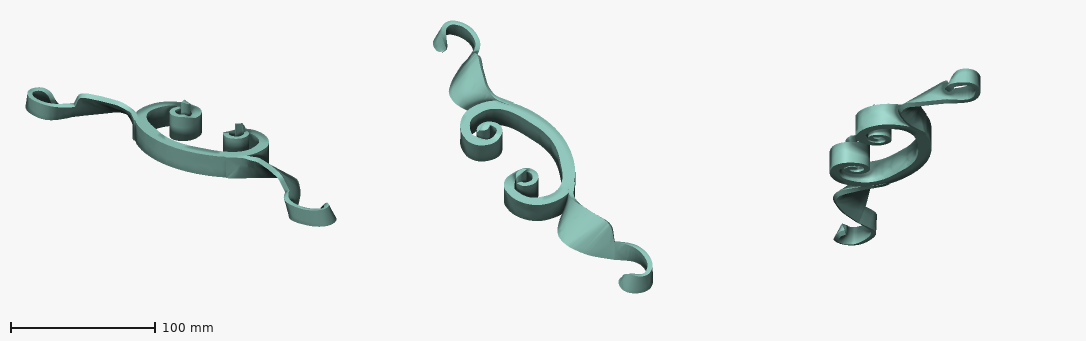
import cadquery as cq


FRAME_HEIGHT = 15.7
CURL_HEIGHT = 18.3
SPIKE_HEIGHT = 25.5
ARM_THICKNESS = 3.5

FRAME_END_X = -30.0
FRAME_END_OUTER = (FRAME_END_X, 60.0)
FRAME_END_INNER = (FRAME_END_X, 53.8)

FRAME_OUTER = [
    FRAME_END_OUTER, (-39.3, 58.5), (-47.0, 53.5), (-52.4, 46.5), (-54.5, 37.8),
    (-53.0, 26.0), (-44.0, 14.3), (-35.0, 8.5), (-23.5, 3.8), (-13.0, 1.2), (0, 0),
]
FRAME_INNER = [
    FRAME_END_INNER, (-37.2, 52.0), (-43.3, 47.7), (-46.2, 40.5), (-46.8, 33.5),
    (-45.5, 28.5), (-38.5, 20.7), (-24.5, 14.0), (-13.0, 10.2), (0, 8.5),
]

CURL_STATIONS = [
    (FRAME_END_OUTER, FRAME_END_INNER, FRAME_HEIGHT),
    ((-23.8, 58.8), (-27.0, 52.0), FRAME_HEIGHT),
    ((-18.5, 54.5), (-23.3, 49.5), FRAME_HEIGHT),
    ((-16.3, 48.3), (-21.2, 46.5), FRAME_HEIGHT),
    ((-16.0, 43.3), (-20.7, 43.5), 16.3),
    ((-17.5, 39.0), (-21.0, 41.3), 17.7),
    ((-20.5, 35.8), (-22.5, 39.3), CURL_HEIGHT),
    ((-25.5, 33.7), (-25.3, 37.8), CURL_HEIGHT),
    ((-30.5, 35.2), (-28.5, 38.7), CURL_HEIGHT),
    ((-34.3, 39.8), (-30.8, 41.0), CURL_HEIGHT),
    ((-34.3, 45.5), (-30.8, 44.8), CURL_HEIGHT),
    ((-32.3, 49.2), (-29.7, 46.8), CURL_HEIGHT),
    ((-28.5, 51.0), (-28.5, 47.7), CURL_HEIGHT),
]

SPIKE_STATIONS = [
    ((-26.5, 50.5), (-28.0, 46.8), 21.5),
    ((-23.8, 49.0), (-27.3, 45.5), 23.0),
    ((-23.0, 46.0), (-26.8, 43.5), 23.8),
    ((-25.0, 42.8), (-26.5, 42.2), SPIKE_HEIGHT),
]

ARM_RIBS = [
    ((-43.3, 15.0, 15.7), (-43.3, 15.0, 0)),
    ((-48.5, 19.0, 16.0), (-48.5, 19.2, -0.3)),
    ((-54.0, 22.0, 16.3), (-53.2, 25.5, -0.3)),
    ((-59.3, 23.0, 16.5), (-57.5, 30.8, 0)),
    ((-66.3, 22.7, 17.7), (-65.5, 37.5, 0.5)),
    ((-73.3, 20.7, 18.3), (-72.5, 41.5, 1.2)),
    ((-80.3, 18.5, 18.5), (-77.7, 42.5, 1.2)),
    ((-87.3, 16.0, 19.0), (-84.5, 41.3, 1.2)),
    ((-92.5, 14.3, 18.5), (-90.7, 37.2, 0)),
    ((-96.9, 13.7, 17.0), (-96.9, 31.7, -1.2)),
    ((-99.8, 14.0, 12.8), (-102.0, 25.5, -1.7)),
    ((-102.7, 14.5, 8.0), (-108.2, 17.7, -2.3)),
    ((-107.3, 8.5, 8.0), (-110.8, 12.2, -3.0)),
    ((-114.3, 3.5, 8.0), (-116.0, 4.7, -3.5)),
    ((-124.0, 1.7, 8.0), (-124.0, 1.7, -3.5)),
    ((-132.5, 3.2, 8.0), (-133.0, 3.2, -3.5)),
    ((-138.5, 7.3, 8.0), (-139.5, 6.7, -3.8)),
    ((-140.5, 11.5, 8.0), (-143.5, 11.5, -3.8)),
    ((-139.0, 16.0, 8.0), (-142.8, 18.3, -4.0)),
    ((-135.5, 18.5, 7.5), (-139.0, 23.5, -4.5)),
    ((-132.0, 20.0, 5.2), (-134.7, 25.0, -4.7)),
    ((-129.5, 20.5, 1.7), (-131.0, 25.0, -4.5)),
    ((-127.7, 20.7, -2.0), (-128.0, 23.8, -3.5)),
]

ARM_CREASE = 11
RAMP_END = 6


def mirrored(solid):
    """The same solid on the other side of X = 0."""
    return solid.mirror("YZ")


def ribbon(sections):
    """One solid through four-cornered sections, with a curve along each row of corners."""
    steps = range(len(sections))
    rows = [
        cq.Edge.makeSpline([cq.Vector(*p) for p in row], parameters=steps)
        for row in zip(*sections)
    ]
    sides = [cq.Face.makeRuledSurface(rows[i - 1], rows[i]) for i in range(len(rows))]
    ends = [
        cq.Face.makeFromWires(cq.Wire.makePolygon([cq.Vector(*p) for p in section], close=True))
        for section in (sections[0], sections[-1])
    ]
    return cq.Solid.makeSolid(cq.Shell.makeShell(sides + ends))


def mirrored_points(points):
    """The points on the other side of X = 0, in reverse order."""
    return [(-x, y) for x, y in reversed(points)]


def make_frame():
    inner = FRAME_INNER + mirrored_points(FRAME_INNER[:-1])
    outline = (
        cq.Workplane("XY")
        .spline(FRAME_OUTER)
        .spline(mirrored_points(FRAME_OUTER))
        .lineTo(*inner[-1])
        .spline(inner[-2::-1], includeCurrent=True)
        .close()
    )
    return outline.extrude(FRAME_HEIGHT).val()


def strip_section(outer, inner, outer_top, inner_top):
    """Upright section of the curl, standing on Z = 0."""
    return [(*outer, 0), (*outer, outer_top), (*inner, inner_top), (*inner, 0)]


def make_curl():
    strip = [strip_section(outer, inner, top, top) for outer, inner, top in CURL_STATIONS]
    spike = [strip_section(outer, inner, top, SPIKE_HEIGHT) for outer, inner, top in SPIKE_STATIONS]
    ramp = ribbon(strip[:RAMP_END + 1])
    coil = ribbon(strip[RAMP_END:])
    rise = ribbon([strip[-1], spike[0]])
    tip = ribbon(spike)
    return ramp.fuse(coil, rise, tip).Solids()[0]


def arm_section(index):
    """Section around one rib, thickened square to the rib and to the arm's path."""
    top, bottom = (cq.Vector(*p) for p in ARM_RIBS[index])
    before = ARM_RIBS[max(index - 1, 0)]
    after = ARM_RIBS[min(index + 1, len(ARM_RIBS) - 1)]
    path = sum((cq.Vector(*p) for p in after), cq.Vector())
    path = path - sum((cq.Vector(*p) for p in before), cq.Vector())
    offset = path.cross(top - bottom).normalized() * (ARM_THICKNESS / 2)
    corners = [top + offset, top - offset, bottom - offset, bottom + offset]
    return [c.toTuple() for c in corners]


def make_arm():
    sections = [arm_section(i) for i in range(len(ARM_RIBS))]
    wing = ribbon(sections[:ARM_CREASE + 1])
    tip = ribbon(sections[ARM_CREASE:])
    return wing.fuse(tip).Solids()[0]


left_arm = make_arm()
left_curl = make_curl()
arms = [left_arm, mirrored(left_arm)]
curls = [left_curl, mirrored(left_curl)]
frame = make_frame().cut(*arms).Solids()[0]

result = cq.Compound.makeCompound([frame, *curls, *arms])